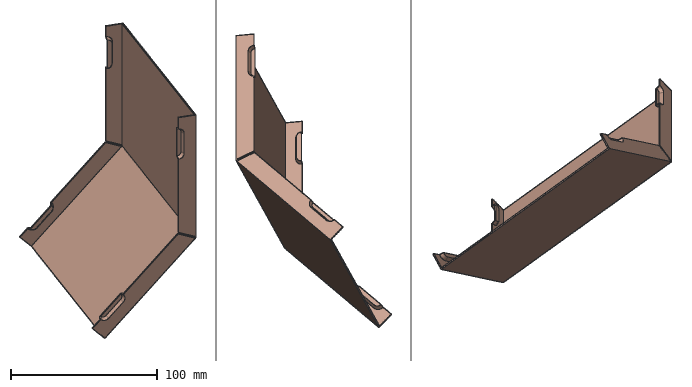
import cadquery as cq
import math

width = 150.0
overall_depth = 74.8
overall_height = 159.2
sheet = 1.0
bend_angle = 45.0
flange_gap = 1.0

recess_from_end = 20.0
recess_straight = 15.0
recess_radius = 4.0
recess_floor_radius = 2.7
recess_depth = 2.9

bend = math.radians(bend_angle)
panel_length = overall_height / (1 + math.cos(bend))
flange_height = (overall_depth - panel_length * math.sin(bend)) / math.cos(bend)
miter_slope = math.tan(bend / 2)
recess_taper = math.degrees(math.atan((recess_radius - recess_floor_radius) / recess_depth))


def miter_prism(height, clearance, x_start, x_length):
    """Panel side shape of given height, mitred at the bend; bend line on the X axis."""
    end_shift = clearance / math.cos(bend / 2)
    points = [
        (0, end_shift),
        (-height, height * miter_slope + end_shift),
        (-height, panel_length),
        (0, panel_length),
    ]
    return cq.Workplane("YZ").polyline(points).close().extrude(x_length).translate((x_start, 0, 0))


def tapered_slot(start_x, radius):
    """Round-ended slot narrowing toward +X, centred on the flange's free edge."""
    slot_length = recess_straight + 2 * radius
    return (
        cq.Workplane("YZ", origin=(start_x, -flange_height, panel_length - recess_from_end))
        .slot2D(slot_length, 2 * radius, 90)
        .extrude(recess_depth, taper=recess_taper)
    )


def left_flange():
    outer_x = -width / 2
    taper = math.radians(recess_taper)
    wall_offset = sheet * (1 - math.sin(taper)) / math.cos(taper)
    flange = miter_prism(flange_height, flange_gap / 2, outer_x, sheet)
    dish = tapered_slot(outer_x + sheet, recess_radius + wall_offset)
    edge_limit = miter_prism(flange_height, flange_gap / 2, outer_x, width / 2)
    return flange.union(dish.intersect(edge_limit)).cut(tapered_slot(outer_x, recess_radius))


def upper_half():
    panel = miter_prism(sheet, 0, -width / 2, width)
    flange = left_flange()
    return panel.union(flange).union(flange.mirror("YZ"))


upper = upper_half()
lower = upper.mirror("XY").rotate((0, 0, 0), (1, 0, 0), -bend_angle)
result = upper.union(lower)